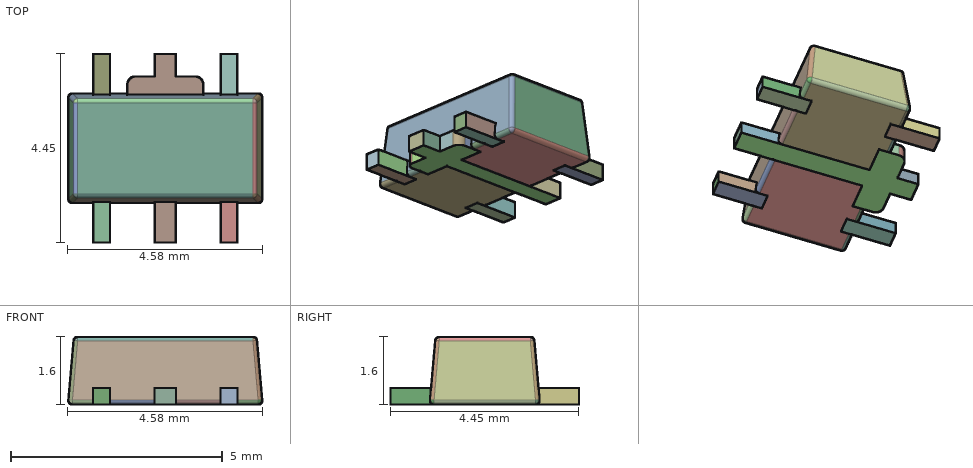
import cadquery as cq
import math

HOUSING_LENGTH = 4.58
HOUSING_WIDTH = 2.59
HOUSING_HEIGHT = 1.6
DRAFT_ANGLE = 5.0
EDGE_RADIUS = 0.1

LEAD_SPAN = 4.45
LEAD_THICKNESS = 0.4
LEAD_PITCH = 1.5
CORNER_LEAD_WIDTH = 0.4
CENTER_LEAD_WIDTH = 0.5
LEAD_EMBEDMENT = 0.3

TAB_WIDTH = 1.8
TAB_REACH = 1.7
TAB_CORNER_RADIUS = 0.2

draft = math.radians(DRAFT_ANGLE)
edge_trim = EDGE_RADIUS * (math.tan(draft) + 1 / math.cos(draft) - 1)
base_length = HOUSING_LENGTH + 2 * edge_trim
base_width = HOUSING_WIDTH + 2 * edge_trim

lead_tip = LEAD_SPAN / 2
lead_root = HOUSING_WIDTH / 2 - LEAD_EMBEDMENT


def make_bar(width, y_start, y_end):
    """Bar centered on X = 0, standing on Z = 0, between two Y positions."""
    return (
        cq.Workplane("XY")
        .center(0, (y_start + y_end) / 2)
        .rect(width, y_end - y_start)
        .extrude(LEAD_THICKNESS)
    )


def make_corner_lead(x_side, y_side):
    """Outer lead on the given side (-1 or +1) in X and in Y."""
    y_start, y_end = sorted((y_side * lead_root, y_side * lead_tip))
    return make_bar(CORNER_LEAD_WIDTH, y_start, y_end).translate((x_side * LEAD_PITCH, 0, 0))


def make_center_lead():
    """Lead running through the housing, widened into a round-cornered tab."""
    tab = make_bar(TAB_WIDTH, lead_root, TAB_REACH)
    tab = tab.edges("|Z and >Y").fillet(TAB_CORNER_RADIUS)
    return make_bar(CENTER_LEAD_WIDTH, -lead_tip, lead_tip).union(tab)


def make_housing(leads):
    """Rounded drafted block with a matching recess for each lead."""
    block = (
        cq.Workplane("XY")
        .rect(base_length, base_width)
        .extrude(HOUSING_HEIGHT, taper=DRAFT_ANGLE)
        .edges()
        .fillet(EDGE_RADIUS)
    )
    for lead in leads:
        block = block.cut(lead)
    return block


corner_leads = [make_corner_lead(x_side, y_side) for x_side in (-1, 1) for y_side in (-1, 1)]
center_lead = make_center_lead()
housing = make_housing([*corner_leads, center_lead])

result = cq.Compound.makeCompound(
    [housing.val(), center_lead.val(), *[lead.val() for lead in corner_leads]]
)